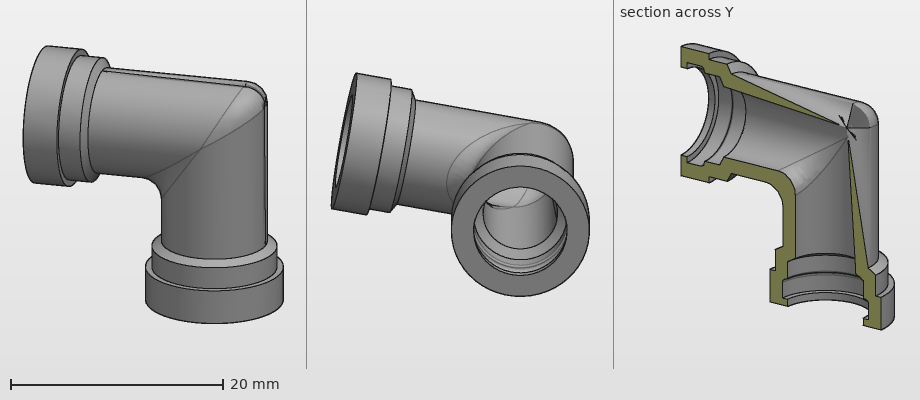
import cadquery as cq
import math

OVERALL_SIZE = 23.39

FLANGE_DIAMETER = 13.0
COLLAR_DIAMETER = 11.8
PIPE_DIAMETER = 10.0
FLANGE_LENGTH = 3.3
COLLAR_LENGTH = 2.1
SHOULDER_ANGLE = 30.0

SOCKET_DIAMETER = 8.8
BORE_DIAMETER = 7.0
GROOVE_DIAMETER = 10.0
LIP_LENGTH = 0.75
GROOVE_WALL_DEPTH = 2.7
GROOVE_ROOT_RADIUS = 0.4
SOCKET_DEPTH = 4.5

CORNER_RADIUS = 2.0
MATCH_TOLERANCE = 1e-6

FLANGE_RADIUS = FLANGE_DIAMETER / 2
COLLAR_RADIUS = COLLAR_DIAMETER / 2
PIPE_RADIUS = PIPE_DIAMETER / 2
SOCKET_RADIUS = SOCKET_DIAMETER / 2
BORE_RADIUS = BORE_DIAMETER / 2
GROOVE_RADIUS = GROOVE_DIAMETER / 2
GROOVE_RIM_RADIUS = GROOVE_RADIUS - SOCKET_RADIUS - GROOVE_ROOT_RADIUS
LEG_LENGTH = OVERALL_SIZE - FLANGE_RADIUS
SHOULDER_SLOPE = math.tan(math.radians(SHOULDER_ANGLE))
SIN_45 = math.sin(math.radians(45))


def revolve_leg(profile):
    """Revolve a (radius, height) profile about the Z axis."""
    return profile.close().revolve(360, (0, 0, 0), (0, 1, 0))


def other_leg(leg):
    """Mirror a leg along -Z in the mitre plane x = z, giving the matching leg along -X."""
    return leg.mirror((1, 0, -1))


def sharp_elbow(radius):
    """Solid round elbow, flush at both ends, with its mitre edge left sharp."""
    reach = LEG_LENGTH + radius
    upright = (
        cq.Workplane("XY")
        .workplane(offset=-LEG_LENGTH)
        .circle(radius)
        .extrude(reach)
        .rotate((0, 0, 0), (0, 0, 1), 90)
    )
    below_mitre = (
        cq.Workplane("XZ")
        .polyline([(-reach, -reach), (reach, -reach), (reach, reach)])
        .close()
        .extrude(FLANGE_RADIUS, both=True)
    )
    mitred_leg = upright.intersect(below_mitre)
    return mitred_leg.union(other_leg(mitred_leg))


def heel_side():
    """Block filling the outer side of the bend, where x + z is positive."""
    size = 2 * OVERALL_SIZE
    upper_half = cq.Workplane("XY").box(size, size, size, centered=(True, True, False))
    return upper_half.rotate((0, 0, 0), (0, 1, 0), 45)


def round_mitre(piece):
    """Fillet the curved edge of a piece that lies in the mitre plane x = z."""
    mitre_edge = [
        edge for edge in piece.edges("%ELLIPSE").vals()
        if abs(edge.Center().x - edge.Center().z) < MATCH_TOLERANCE
    ]
    return piece.newObject(mitre_edge).fillet(CORNER_RADIUS)


def rounded_heel(radius):
    """Outer side of the bend, rounded along the mitre."""
    return round_mitre(sharp_elbow(radius).intersect(heel_side()))


def rounded_throat(radius):
    """Inner side of the bend and both legs, rounded along the mitre."""
    return round_mitre(sharp_elbow(radius).cut(heel_side()))


def end_fitting():
    """Flange, collar and sloped shoulder around the open end of the -Z leg."""
    end = -LEG_LENGTH
    collar_start = end + FLANGE_LENGTH
    collar_end = collar_start + COLLAR_LENGTH
    shoulder_end = collar_end + (COLLAR_RADIUS - PIPE_RADIUS) * SHOULDER_SLOPE
    return revolve_leg(
        cq.Workplane("XZ")
        .moveTo(0, end)
        .lineTo(FLANGE_RADIUS, end)
        .lineTo(FLANGE_RADIUS, collar_start)
        .lineTo(COLLAR_RADIUS, collar_start)
        .lineTo(COLLAR_RADIUS, collar_end)
        .lineTo(PIPE_RADIUS, shoulder_end)
        .lineTo(0, shoulder_end)
    )


def socket_cavity():
    """Socket in the -Z leg: lip, retaining groove, straight seat and cone down to the bore."""
    end = -LEG_LENGTH
    groove_start = end + LIP_LENGTH
    groove_wall = end + GROOVE_WALL_DEPTH
    seat_end = end + SOCKET_DEPTH
    cone_end = seat_end + (SOCKET_RADIUS - BORE_RADIUS) * SHOULDER_SLOPE

    root_start = (GROOVE_RADIUS, groove_wall - GROOVE_ROOT_RADIUS)
    root_middle = (
        GROOVE_RADIUS - GROOVE_ROOT_RADIUS * (1 - SIN_45),
        groove_wall - GROOVE_ROOT_RADIUS * (1 - SIN_45),
    )
    inflection = (GROOVE_RADIUS - GROOVE_ROOT_RADIUS, groove_wall)
    rim_middle = (
        SOCKET_RADIUS + GROOVE_RIM_RADIUS * (1 - SIN_45),
        groove_wall + GROOVE_RIM_RADIUS * (1 - SIN_45),
    )
    rim_end = (SOCKET_RADIUS, groove_wall + GROOVE_RIM_RADIUS)

    return revolve_leg(
        cq.Workplane("XZ")
        .moveTo(0, end)
        .lineTo(SOCKET_RADIUS, end)
        .lineTo(SOCKET_RADIUS, groove_start)
        .lineTo(GROOVE_RADIUS, groove_start)
        .lineTo(*root_start)
        .threePointArc(root_middle, inflection)
        .threePointArc(rim_middle, rim_end)
        .lineTo(SOCKET_RADIUS, seat_end)
        .lineTo(BORE_RADIUS, cone_end)
        .lineTo(0, cone_end)
    )


def add_to_both_legs(body, feature):
    """Join a feature of the -Z leg, and its match on the -X leg, to a body."""
    return body.union(feature).union(other_leg(feature))


heel = rounded_heel(PIPE_RADIUS).cut(rounded_heel(BORE_RADIUS))
legs = add_to_both_legs(rounded_throat(PIPE_RADIUS), end_fitting())
cavity = add_to_both_legs(rounded_throat(BORE_RADIUS), socket_cavity())

body = legs.cut(cavity).union(heel)
result = body.solids()